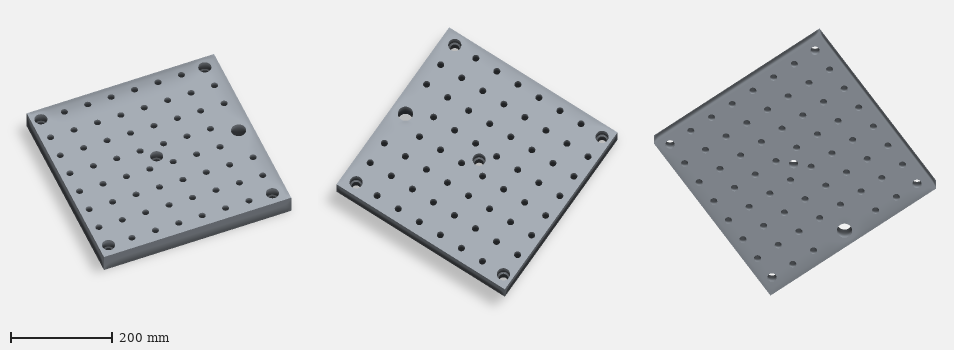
import cadquery as cq

plate_side = 400.0
plate_thickness = 40.0

pitch = 50.0
holes_per_side = 8
pattern_centre_y = -5.0
pattern_half_span = pitch * (holes_per_side - 1) / 2
back_row_y = pattern_centre_y + pattern_half_span

grid_hole_diameter = 14.0
bolt_hole_diameter = 18.0
counterbore_diameter = 26.0
counterbore_depth = plate_thickness / 2
large_hole_diameter = 30.0

large_hole_point = (0.0, back_row_y)

bolt_points = [(0.0, pattern_centre_y)]
for side_x in (-1, 1):
    for side_y in (-1, 1):
        bolt_points.append((side_x * pattern_half_span, pattern_centre_y + side_y * pattern_half_span))


def grid_points():
    """Pattern positions, leaving out the corners and the two beside the large hole."""
    points = []
    for column in range(holes_per_side):
        for row in range(holes_per_side):
            x = column * pitch - pattern_half_span
            y = pattern_centre_y + row * pitch - pattern_half_span
            beside_large_hole = y == back_row_y and abs(x) < pitch
            if (x, y) not in bolt_points and not beside_large_hole:
                points.append((x, y))
    return points


def drill(body, points, diameter):
    """Cut plain through holes from the top face."""
    top = body.faces(">Z").workplane(origin=(0, 0, plate_thickness))
    return top.pushPoints(points).hole(diameter)


def counterbore(body, points):
    """Cut counterbored through holes from the top face."""
    top = body.faces(">Z").workplane(origin=(0, 0, plate_thickness))
    return top.pushPoints(points).cboreHole(bolt_hole_diameter, counterbore_diameter, counterbore_depth)


plate = cq.Workplane("XY").box(plate_side, plate_side, plate_thickness, centered=(True, True, False))
plate = drill(plate, grid_points(), grid_hole_diameter)
plate = drill(plate, [large_hole_point], large_hole_diameter)
result = counterbore(plate, bolt_points)